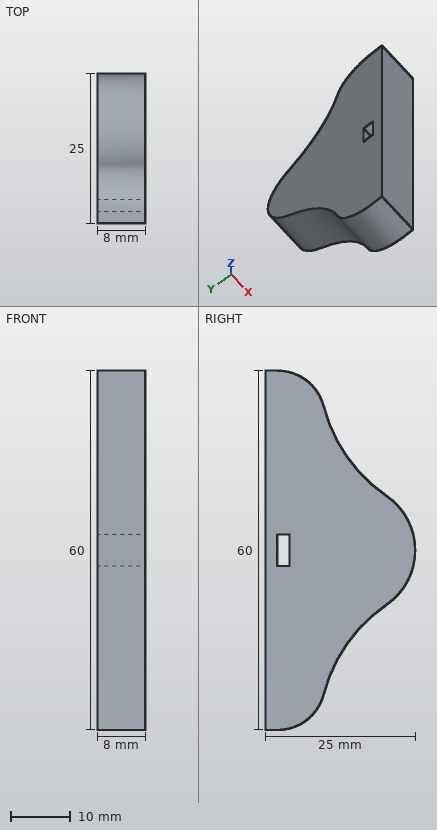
import cadquery as cq
import math

thickness = 8.0
height = 60.0
depth = 25.0
nose_radius = 11.0
end_radius = 8.0
end_flat = 2.0
flank_radius = 26.0

slot_inset = 2.0
slot_depth = 2.0
slot_height = 5.2

nose_centre = (depth - nose_radius, 0.0)
end_centre = (end_flat, height / 2 - end_radius)


def tangent_arc_centre(centre_a, radius_a, centre_b, radius_b, radius):
    """Centre of the arc touching circles a and b from outside, on the right of the line a to b."""
    delta_y = centre_b[0] - centre_a[0]
    delta_z = centre_b[1] - centre_a[1]
    span = math.hypot(delta_y, delta_z)
    reach_a = radius + radius_a
    reach_b = radius + radius_b
    along = (reach_a**2 - reach_b**2 + span**2) / (2 * span)
    across = math.sqrt(reach_a**2 - along**2)
    return (
        centre_a[0] + (along * delta_y + across * delta_z) / span,
        centre_a[1] + (along * delta_z - across * delta_y) / span,
    )


def point_toward(start, target, distance):
    """Point at the given distance from start on the line to target."""
    fraction = distance / math.dist(start, target)
    return tuple(s + fraction * (t - s) for s, t in zip(start, target))


def arc_middle(centre, radius, first, last):
    """Middle point of the shorter arc between two points on a circle."""
    chord_middle = ((first[0] + last[0]) / 2, (first[1] + last[1]) / 2)
    return point_toward(centre, chord_middle, radius)


def mirrored(point):
    """Point reflected across Z = 0."""
    return (point[0], -point[1])


def make_plate():
    """Bell-shaped plate, centred on X = 0."""
    flank_centre = tangent_arc_centre(
        nose_centre, nose_radius, end_centre, end_radius, flank_radius
    )
    corner = (0.0, height / 2)
    end_start = (end_flat, height / 2)
    end_to_flank = point_toward(end_centre, flank_centre, end_radius)
    flank_to_nose = point_toward(nose_centre, flank_centre, nose_radius)
    end_middle = arc_middle(end_centre, end_radius, end_start, end_to_flank)
    flank_middle = arc_middle(flank_centre, flank_radius, end_to_flank, flank_to_nose)
    nose_tip = (depth, 0.0)

    outline = (
        cq.Workplane("YZ")
        .moveTo(*corner)
        .lineTo(*end_start)
        .threePointArc(end_middle, end_to_flank)
        .threePointArc(flank_middle, flank_to_nose)
        .threePointArc(nose_tip, mirrored(flank_to_nose))
        .threePointArc(mirrored(flank_middle), mirrored(end_to_flank))
        .threePointArc(mirrored(end_middle), mirrored(end_start))
        .lineTo(*mirrored(corner))
        .close()
    )
    return outline.extrude(thickness / 2, both=True)


def make_slot():
    """Rectangular slot running through the full thickness."""
    slot = cq.Workplane("XY").box(thickness, slot_depth, slot_height)
    return slot.translate((0, slot_inset + slot_depth / 2, 0))


result = make_plate().cut(make_slot())